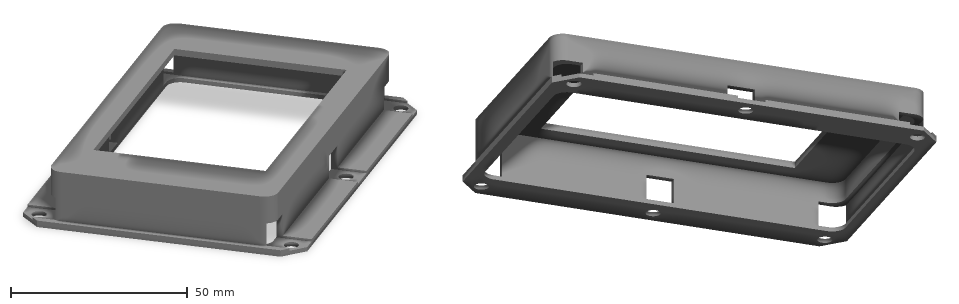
import cadquery as cq

flange_width = 84.3
flange_length = 116.0
flange_thickness = 2.0
flange_chamfer = 6.0

housing_width = 67.2
housing_length = 112.8
total_height = 17.1
corner_radius = 4.1
wall = 2.0
top_thickness = 2.0
window_width = 51.1
window_length = 76.7

hole_diameter = 4.3
hole_x = 37.4
hole_spacing = 51.9
notch_width = 8.2
notch_floor = 1.3
notch_top = 8.8

inner_width = housing_width - 2 * wall
inner_length = housing_length - 2 * wall


def rounded_block(width, length, height, radius):
    """Block standing on the base plane with rounded upright edges."""
    block = cq.Workplane("XY").box(width, length, height, centered=(True, True, False))
    return block.edges("|Z").fillet(radius)


def notch_row(y):
    """Cutter running straight across the part, open at both flange edges."""
    height = notch_top - notch_floor
    cutter = cq.Workplane("XY").box(flange_width, notch_width, height, centered=(True, True, False))
    return cutter.translate((0, y, notch_floor))


flange = (
    cq.Workplane("XY")
    .box(flange_width, flange_length, flange_thickness, centered=(True, True, False))
    .edges("|Z")
    .chamfer(flange_chamfer)
)
housing = rounded_block(housing_width, housing_length, total_height, corner_radius)
cavity = rounded_block(inner_width, inner_length, total_height - top_thickness, corner_radius)
window = cq.Workplane("XY").rect(window_width, window_length).extrude(total_height)

result = flange.union(housing).cut(cavity).cut(window)

row_positions = [row * hole_spacing for row in (-1, 0, 1)]
for y in row_positions:
    result = result.cut(notch_row(y))

hole_points = [(side * hole_x, y) for side in (-1, 1) for y in row_positions]
holes = cq.Workplane("XY").pushPoints(hole_points).circle(hole_diameter / 2).extrude(flange_thickness)
result = result.cut(holes)